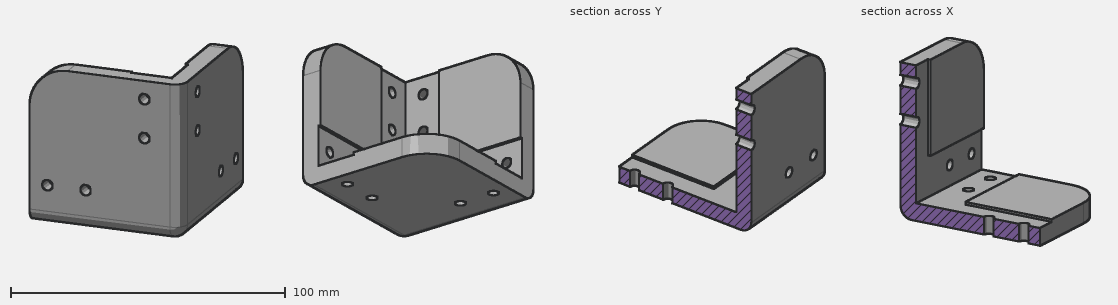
import cadquery as cq

side = 60.0
wall = 8.0
edge_radius = 5.0
corner_radius = 15.0
groove_depth = 1.0
bar_ledge = 15.0
hole_inset = 15.0
hole_diameter = 4.0
hole_distances = (38.0, 53.0)

groove_start = wall - groove_depth
groove_end = wall + bar_ledge
groove_width = groove_end - groove_start


def box(x, y, z, dx, dy, dz):
    """Box with its lowest corner at (x, y, z)."""
    return cq.Workplane("XY").box(dx, dy, dz, centered=False).translate((x, y, z))


def corner_shell():
    """Three mutually perpendicular square walls with a rounded outer corner."""
    block = box(0, 0, 0, side, side, side)
    vertical_edge = block.faces(">X").edges("<Y")
    depth_edge = block.faces(">X").edges("<Z")
    width_edge = block.faces("<Y").edges("<Z")
    block = vertical_edge.add(depth_edge).add(width_edge).fillet(edge_radius)
    inside = side - wall
    return block.cut(box(0, wall, wall, inside, inside, inside))


def bar_grooves():
    """Clearance for three square bars that leave the inner corner along each axis."""
    length = side - groove_start
    far_x = side - groove_end
    along_x = box(0, groove_start, groove_start, length, groove_width, groove_width)
    along_y = box(far_x, groove_start, groove_start, groove_width, length, groove_width)
    along_z = box(far_x, groove_start, groove_start, groove_width, groove_width, length)
    return along_x.union(along_y).union(along_z)


def free_corner_trim():
    """Material outside the rounded free corner, as a prism through the bottom wall."""
    square = box(0, side - corner_radius, 0, corner_radius, corner_radius, wall)
    disc = cq.Workplane("XY").center(corner_radius, side - corner_radius).circle(corner_radius).extrude(wall)
    return square.cut(disc)


def wall_holes():
    """Screw holes through the bottom wall, two beside each of its bars."""
    points = []
    for distance in hole_distances:
        points.append((side - distance, hole_inset))
        points.append((side - hole_inset, distance))
    return cq.Workplane("XY").pushPoints(points).circle(hole_diameter / 2).extrude(wall)


def on_each_wall(bottom_cut):
    """Copies of a bottom-wall cut for the bottom, front and side walls.

    The walls map onto each other by a third of a turn about the diagonal
    through the outer corner.
    """
    diagonal_start = (side, 0, 0)
    diagonal_end = (0, side, side)
    angles = (0, 120, 240)
    return [bottom_cut.rotate(diagonal_start, diagonal_end, angle) for angle in angles]


result = corner_shell().cut(bar_grooves())
for cutter in on_each_wall(free_corner_trim()) + on_each_wall(wall_holes()):
    result = result.cut(cutter)